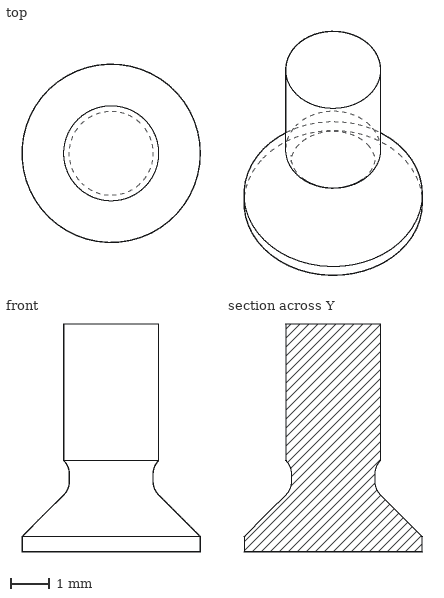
import cadquery as cq
import math

total_height = 6.0
head_diameter = 4.7
shank_diameter = 2.5
rim_height = 0.4
shank_length = 3.6
neck_fillet_radius = 0.5
cone_angle = math.radians(45)

head_radius = head_diameter / 2
shank_radius = shank_diameter / 2
cone_top = rim_height + (head_radius - shank_radius) / math.tan(cone_angle)
shank_bottom = total_height - shank_length

fillet_height = neck_fillet_radius * math.sin(cone_angle)
neck_radius = shank_radius - neck_fillet_radius * (1 - math.cos(cone_angle))
neck_bottom = cone_top + fillet_height
neck_top = shank_bottom - fillet_height

mid_rise = neck_fillet_radius * math.sin(cone_angle / 2)
mid_radius = neck_radius + neck_fillet_radius * (1 - math.cos(cone_angle / 2))

profile = (
    cq.Workplane("XZ")
    .lineTo(head_radius, 0)
    .lineTo(head_radius, rim_height)
    .lineTo(shank_radius, cone_top)
    .threePointArc((mid_radius, neck_bottom - mid_rise), (neck_radius, neck_bottom))
    .lineTo(neck_radius, neck_top)
    .threePointArc((mid_radius, neck_top + mid_rise), (shank_radius, shank_bottom))
    .lineTo(shank_radius, total_height)
    .lineTo(0, total_height)
    .close()
)

result = profile.revolve(360, (0, 0, 0), (0, 1, 0))